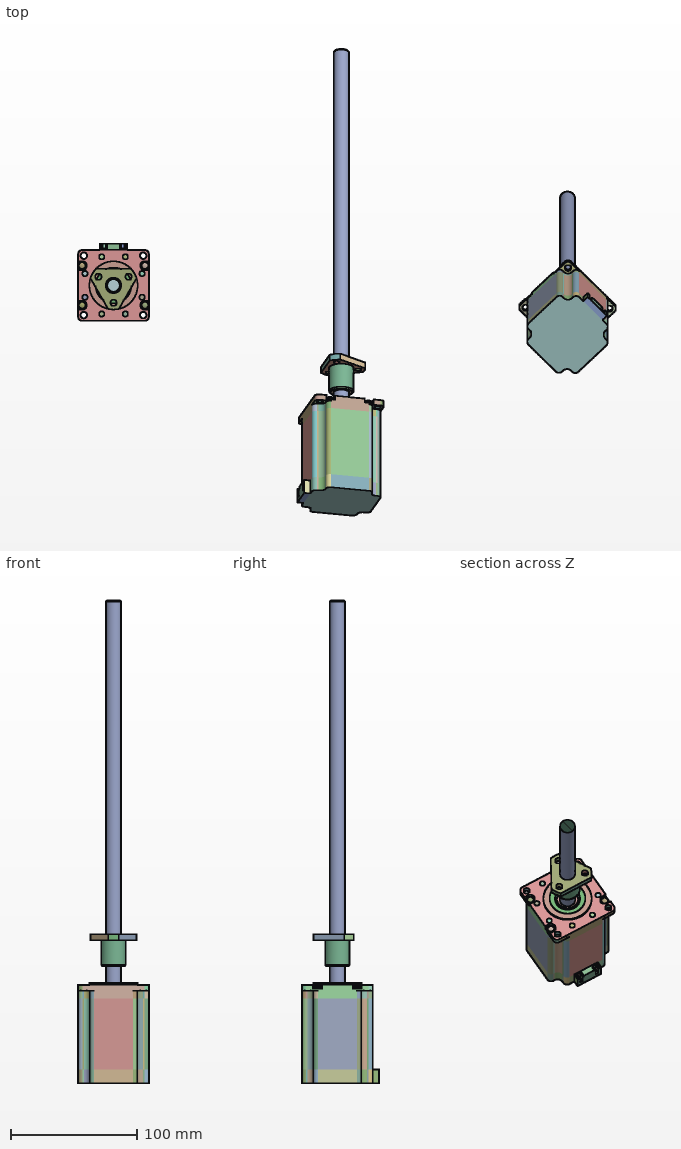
import cadquery as cq
import math

motor_width = 56.5
motor_half = motor_width / 2
rear_cap_top = 11.0
stator_top = 67.5
motor_top = 78.2
flange_thickness = 4.5
flange_bottom = motor_top - flange_thickness
flange_corner_radius = 3.5

mount_offset = 47.0 / 2
mount_hole_diameter = 5.0
channel_radius = 4.5
channel_side = mount_offset - channel_radius
lobe_radius = 3.5
lobe_start = channel_side - lobe_radius
lobe_end = motor_half - lobe_radius

pilot_radius = 19.0
pilot_height = 1.5
pilot_top = motor_top + pilot_height
pilot_recess_radius = 14.0
pilot_recess_depth = 0.5
seat_radius = 10.0
seat_depth = 1.0
seat_bore_radius = 8.5
seat_bore_depth = 2.3

mark_count = 8
mark_circle_radius = 24.5
mark_diameter = 4.2
mark_depth = 0.2

notch_x = 25.0
notch_y = 15.7
notch_width = 7.3
notch_depth = 3.0
notch_floor = motor_top - notch_depth

connector_width = 22.0
connector_reach = 5.0
connector_wall = 1.0
slot_x = 7.3
slot_width = 2.3
slot_floor = 4.0
slot_mouth_width = 4.5
slot_mouth_depth = 1.0

washer_radius = 3.0
washer_height = 0.8
head_radius = 2.5
head_side_height = 2.0
head_height = 2.5

lead_screw_radius = 6.0
lead_screw_top = 383.3
lead_screw_chamfer = 1.0

nut_top = 118.5
nut_flange_thickness = 5.0
nut_flange_bottom = nut_top - nut_flange_thickness
nut_flange_radius = 19.0
nut_flat_distance = 13.0
nut_bottom = 92.8
nut_body_radius = 19.5 / 2
nut_chamfer = 1.0
nut_hole_circle_radius = 13.8
nut_hole_diameter = 5.0


def disc(radius, bottom, top):
    """Upright cylinder on the Z axis."""
    return cq.Workplane("XY").workplane(offset=bottom).circle(radius).extrude(top - bottom)


def pins(points, diameter, bottom, top):
    """Upright cylinders at the given points."""
    plane = cq.Workplane("XY").workplane(offset=bottom)
    return plane.pushPoints(points).circle(diameter / 2).extrude(top - bottom)


def box(x_size, y_size, bottom, top, center=(0, 0)):
    plane = cq.Workplane("XY").workplane(offset=bottom)
    return plane.center(*center).rect(x_size, y_size).extrude(top - bottom)


def polar_points(radius, angles):
    return [
        (radius * math.cos(math.radians(angle)), radius * math.sin(math.radians(angle)))
        for angle in angles
    ]


def four_corners(x, y):
    return [(x, y), (-x, y), (-x, -y), (x, -y)]


def motor_section(bottom, top):
    """Square block with two rounded lobes and a concave bolt channel at each corner."""
    height = top - bottom
    lobe_bulge = lobe_radius * math.sqrt(0.5)
    channel_middle = mount_offset - channel_radius * math.sqrt(0.5)
    corner = (
        cq.Workplane("XY")
        .workplane(offset=bottom)
        .moveTo(lobe_start, motor_half)
        .threePointArc((lobe_start + lobe_bulge, lobe_end + lobe_bulge), (channel_side, lobe_end))
        .lineTo(channel_side, mount_offset)
        .threePointArc((channel_middle, channel_middle), (mount_offset, channel_side))
        .lineTo(lobe_end, channel_side)
        .threePointArc((lobe_end + lobe_bulge, lobe_start + lobe_bulge), (motor_half, lobe_start))
        .lineTo(motor_half, motor_half)
        .close()
        .extrude(height)
    )
    section = box(motor_width, motor_width, bottom, top)
    for quarter in range(4):
        section = section.cut(corner.rotate((0, 0, 0), (0, 0, 1), 90 * quarter))
    return section


def make_flange():
    """Square front flange with its pilot, seat, holes, marks and screw notches."""
    flange = box(motor_width, motor_width, flange_bottom, motor_top)
    flange = flange.edges("|Z").fillet(flange_corner_radius)
    flange = flange.union(disc(pilot_radius, motor_top, pilot_top))
    flange = flange.cut(disc(pilot_recess_radius, pilot_top - pilot_recess_depth, pilot_top))
    flange = flange.cut(disc(seat_radius, pilot_top - seat_depth, pilot_top))
    flange = flange.cut(disc(seat_bore_radius, pilot_top - seat_bore_depth, pilot_top))

    mount_points = four_corners(mount_offset, mount_offset)
    flange = flange.cut(pins(mount_points, mount_hole_diameter, flange_bottom, motor_top))

    mark_pitch = 360 / mark_count
    mark_angles = [(k + 0.5) * mark_pitch for k in range(mark_count)]
    mark_points = polar_points(mark_circle_radius, mark_angles)
    flange = flange.cut(pins(mark_points, mark_diameter, motor_top - mark_depth, motor_top))

    mouth_length = motor_half - notch_x
    mouth_x = notch_x + mouth_length / 2
    flange = flange.cut(pins(four_corners(notch_x, notch_y), notch_width, notch_floor, motor_top))
    for mouth in four_corners(mouth_x, notch_y):
        flange = flange.cut(box(mouth_length, notch_width, notch_floor, motor_top, mouth))
    return flange


def make_connector():
    """Block on the +Y face with two stepped slots open at the top and back."""
    back = motor_half + connector_reach
    connector_y = motor_half + connector_reach / 2
    connector = box(connector_width, connector_reach, 0, rear_cap_top, (0, connector_y))
    slot_length = connector_reach - connector_wall
    slot_y = back - slot_length / 2
    for x in (-slot_x, slot_x):
        connector = connector.cut(box(slot_width, slot_length, slot_floor, rear_cap_top, (x, slot_y)))
        mouth_floor = rear_cap_top - slot_mouth_depth
        connector = connector.cut(
            box(slot_mouth_width, slot_length, mouth_floor, rear_cap_top, (x, slot_y))
        )
    return connector


def make_motor():
    """One solid; the unions skip face merging so the flush section joints stay as lines."""
    motor = motor_section(0, rear_cap_top)
    motor = motor.union(make_connector(), clean=False)
    motor = motor.union(motor_section(rear_cap_top, stator_top), clean=False)
    front_cap = motor_section(stator_top, flange_bottom).union(make_flange())
    return motor.union(front_cap, clean=False)


def make_screw_head(x, y):
    """Domed screw head on a washer, resting on the floor of a flange notch."""
    dome_rise = head_height - head_side_height
    dome_radius = (head_radius**2 + dome_rise**2) / (2 * dome_rise)
    half_angle = math.asin(head_radius / dome_radius) / 2
    dome_middle = (
        dome_radius * math.sin(half_angle),
        head_height - dome_radius * (1 - math.cos(half_angle)),
    )
    return (
        cq.Workplane("XZ")
        .lineTo(washer_radius, 0)
        .lineTo(washer_radius, washer_height)
        .lineTo(head_radius, washer_height)
        .lineTo(head_radius, head_side_height)
        .threePointArc(dome_middle, (0, head_height))
        .close()
        .revolve(360, (0, 0, 0), (0, 1, 0))
        .translate((x, y, notch_floor))
    )


def make_lead_screw():
    """Plain round rod that stands on the floor of the pilot seat."""
    rod = disc(lead_screw_radius, pilot_top - seat_bore_depth, lead_screw_top)
    return rod.faces(">Z").edges().chamfer(lead_screw_chamfer)


def make_nut():
    """Round nut under a flange that is a disc trimmed by three flats."""
    flange = disc(nut_flange_radius, nut_flange_bottom, nut_top)
    triangle = (
        cq.Workplane("XY")
        .workplane(offset=nut_flange_bottom)
        .polygon(3, 4 * nut_flat_distance)
        .extrude(nut_flange_thickness)
        .rotate((0, 0, 0), (0, 0, 1), -90)
    )
    body = disc(nut_body_radius, nut_bottom, nut_flange_bottom)
    body = body.faces("<Z").edges().chamfer(nut_chamfer)
    nut = flange.intersect(triangle).union(body)
    hole_points = polar_points(nut_hole_circle_radius, (30, 150, 270))
    nut = nut.cut(pins(hole_points, nut_hole_diameter, nut_flange_bottom, nut_top))
    return nut.cut(disc(lead_screw_radius, nut_bottom, nut_top))


motor = make_motor()
screw_heads = [make_screw_head(x, y) for x, y in four_corners(notch_x, notch_y)]
lead_screw = make_lead_screw()
nut = make_nut()

result = cq.Compound.makeCompound(
    [motor.val(), *[head.val() for head in screw_heads], lead_screw.val(), nut.val()]
)